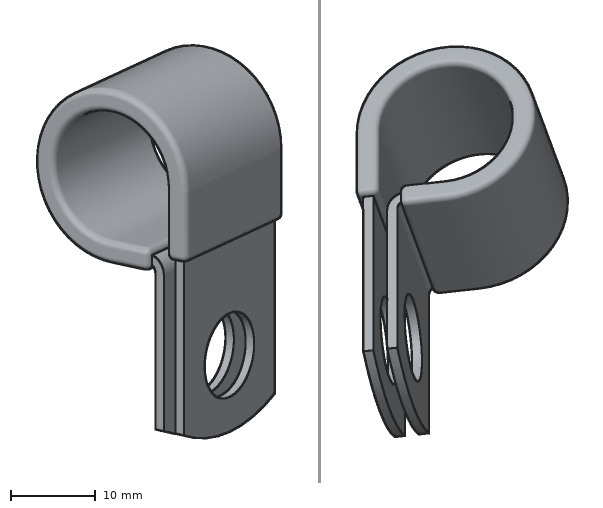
import cadquery as cq
import math

outer_diameter = 21.5
cushion_wall = 2.75
cushion_width = 20.65
edge_round = 0.8
lower_lip_x = 5.45
side_lip_z = -8.8

total_height = 43.3
strap_thickness = 1.2
lower_tab_outer_x = 7.1
bend_outer_radius = 2.2
hole_diameter = 10.4
hole_below_top = 33.75
tab_end_rise = 2.15

outer_radius = outer_diameter / 2
inner_radius = outer_radius - cushion_wall
strap_outer_radius = outer_radius - (cushion_wall - strap_thickness) / 2
strap_inner_radius = strap_outer_radius - strap_thickness
strap_width = cushion_width - 2 * edge_round
tab_bottom_z = outer_radius - total_height
hole_z = outer_radius - hole_below_top
diagonal = math.sqrt(0.5)


def extrude_centered(profile, width):
    """Extrude an XZ profile by the same amount on both sides of the XZ plane."""
    return profile.extrude(width / 2, both=True)


def make_cushion():
    """Three-quarter ring with a straight lip at each end, rounded all over."""
    profile = (
        cq.Workplane("XZ")
        .moveTo(outer_radius, side_lip_z)
        .lineTo(outer_radius, 0)
        .threePointArc((-outer_radius * diagonal, outer_radius * diagonal), (0, -outer_radius))
        .lineTo(lower_lip_x, -outer_radius)
        .lineTo(lower_lip_x, -inner_radius)
        .lineTo(0, -inner_radius)
        .threePointArc((-inner_radius * diagonal, inner_radius * diagonal), (inner_radius, 0))
        .lineTo(inner_radius, side_lip_z)
        .close()
    )
    body = extrude_centered(profile, cushion_width)
    lip_ends = [
        (outer_radius, 0, side_lip_z),
        (inner_radius, 0, side_lip_z),
        (lower_lip_x, 0, -outer_radius),
        (lower_lip_x, 0, -inner_radius),
    ]
    rounded_edges = body.faces("<Y or >Y").edges()
    for point in lip_ends:
        rounded_edges = rounded_edges.add(body.edges(cq.selectors.NearestToPointSelector(point)))
    return rounded_edges.fillet(edge_round)


def make_strap():
    """Bent strip that follows the cushion and ends in two parallel hanging tabs."""
    bend_inner_radius = bend_outer_radius - strap_thickness
    bend_x = lower_tab_outer_x - bend_outer_radius
    bend_z = -strap_inner_radius - bend_outer_radius
    lower_tab_inner_x = lower_tab_outer_x - strap_thickness
    outer_mid = strap_outer_radius * diagonal
    inner_mid = strap_inner_radius * diagonal
    bend_outer_mid = bend_outer_radius * diagonal
    bend_inner_mid = bend_inner_radius * diagonal
    profile = (
        cq.Workplane("XZ")
        .moveTo(strap_outer_radius, tab_bottom_z)
        .lineTo(strap_outer_radius, 0)
        .threePointArc((-outer_mid, outer_mid), (0, -strap_outer_radius))
        .lineTo(bend_x, -strap_outer_radius)
        .threePointArc((bend_x + bend_inner_mid, bend_z + bend_inner_mid), (lower_tab_inner_x, bend_z))
        .lineTo(lower_tab_inner_x, tab_bottom_z)
        .lineTo(lower_tab_outer_x, tab_bottom_z)
        .lineTo(lower_tab_outer_x, bend_z)
        .threePointArc((bend_x + bend_outer_mid, bend_z + bend_outer_mid), (bend_x, -strap_inner_radius))
        .lineTo(0, -strap_inner_radius)
        .threePointArc((-inner_mid, inner_mid), (strap_inner_radius, 0))
        .lineTo(strap_inner_radius, tab_bottom_z)
        .close()
    )
    return extrude_centered(profile, strap_width)


def make_tab_outline():
    """Block along X with an arched lower end and the bolt hole, used to trim the strap."""
    half_width = strap_width / 2
    corner_z = tab_bottom_z + tab_end_rise
    return (
        cq.Workplane("YZ")
        .moveTo(-half_width, outer_radius)
        .lineTo(-half_width, corner_z)
        .threePointArc((0, tab_bottom_z), (half_width, corner_z))
        .lineTo(half_width, outer_radius)
        .close()
        .moveTo(0, hole_z)
        .circle(hole_diameter / 2)
        .extrude(outer_diameter, both=True)
    )


strap = make_strap().intersect(make_tab_outline())
result = make_cushion().union(strap)